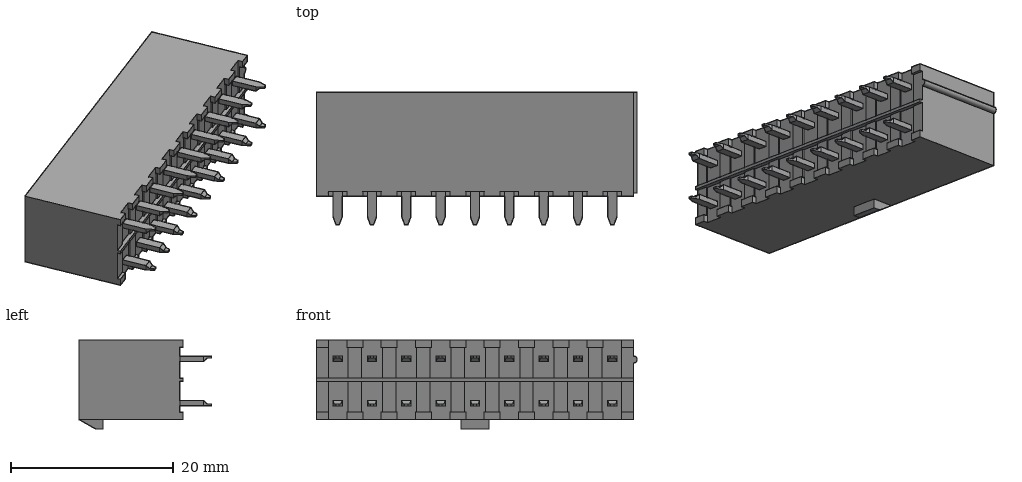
import cadquery as cq

OVERALL_LENGTH = 39.4
KEY_RADIUS = 0.45
BODY_LENGTH = OVERALL_LENGTH - KEY_RADIUS
BODY_DEPTH = 12.8
BODY_HEIGHT = 9.77

PILLAR_RECESS = 0.4
CHANNEL_RECESS = 0.6
LIP_HEIGHT = 0.9
LIP_GAP = 2.25
PILLAR_WIDTH = 1.65
DIVIDER_HEIGHT = 0.4

PIN_COLUMNS = 9
PIN_PITCH = 4.2
PIN_WIDTH = 1.15
PIN_THICKNESS = 0.67
PIN_REACH = 3.5
PIN_TAPER = 1.0
PIN_TIP_WIDTH = 0.4
PIN_TIP_THICKNESS = 0.25
UPPER_PIN_Z = 7.45
PIN_ROW_SPACING = 5.45

KEY_Z = 7.35
LATCH_WIDTH = 3.45
LATCH_HEIGHT = 1.2
LATCH_DEPTH = 3.0
LATCH_FLAT = 0.9

CHANNEL_XS = [(i - (PIN_COLUMNS - 1) / 2) * PIN_PITCH for i in range(PIN_COLUMNS)]


def block(x_range, y_range, z_range):
    """Box spanning the given (low, high) limits on each axis."""
    lows, highs = zip(x_range, y_range, z_range)
    sizes = [high - low for low, high in zip(lows, highs)]
    return cq.Workplane("XY").box(*sizes, centered=False).translate(lows)


def housing():
    """Solid block with its front face relieved behind the lips and the divider."""
    half_length = BODY_LENGTH / 2
    full_x = (-half_length, half_length)
    full_z = (0, BODY_HEIGHT)
    between_lips = (LIP_HEIGHT, BODY_HEIGHT - LIP_HEIGHT)
    body = block(full_x, (0, BODY_DEPTH), full_z)
    body = body.cut(block(full_x, (0, PILLAR_RECESS), between_lips))

    wide_half = (PIN_PITCH - PILLAR_WIDTH) / 2
    gap_half = LIP_GAP / 2
    for x in CHANNEL_XS:
        left = gap_half if x == CHANNEL_XS[0] else wide_half
        right = gap_half if x == CHANNEL_XS[-1] else wide_half
        body = body.cut(block((x - gap_half, x + gap_half), (0, CHANNEL_RECESS), full_z))
        body = body.cut(block((x - left, x + right), (0, CHANNEL_RECESS), between_lips))

    divider_z = ((BODY_HEIGHT - DIVIDER_HEIGHT) / 2, (BODY_HEIGHT + DIVIDER_HEIGHT) / 2)
    return body.union(block(full_x, (0, CHANNEL_RECESS), divider_z))


def pin():
    """Pin centred on X = Z = 0, pointed in plan and bevelled at 45 degrees underneath."""
    half_width = PIN_WIDTH / 2
    half_tip = PIN_TIP_WIDTH / 2
    top = PIN_THICKNESS / 2
    shoulder_y = PIN_TAPER - PIN_REACH
    bevel_length = PIN_THICKNESS - PIN_TIP_THICKNESS
    plan = (
        cq.Workplane("XY")
        .workplane(offset=-top)
        .moveTo(-half_width, CHANNEL_RECESS)
        .lineTo(-half_width, shoulder_y)
        .lineTo(-half_tip, -PIN_REACH)
        .lineTo(half_tip, -PIN_REACH)
        .lineTo(half_width, shoulder_y)
        .lineTo(half_width, CHANNEL_RECESS)
        .close()
        .extrude(PIN_THICKNESS)
    )
    side = (
        cq.Workplane("YZ")
        .moveTo(CHANNEL_RECESS, top)
        .lineTo(-PIN_REACH, top)
        .lineTo(-PIN_REACH, top - PIN_TIP_THICKNESS)
        .lineTo(shoulder_y - bevel_length, top - PIN_TIP_THICKNESS)
        .lineTo(shoulder_y, -top)
        .lineTo(CHANNEL_RECESS, -top)
        .close()
        .extrude(half_width, both=True)
    )
    return plan.intersect(side)


def side_key():
    """Round rib along the +X side, stopping level with the pillar faces."""
    return (
        cq.Workplane("XZ", origin=(BODY_LENGTH / 2, BODY_DEPTH, KEY_Z))
        .circle(KEY_RADIUS)
        .extrude(BODY_DEPTH - PILLAR_RECESS)
    )


def latch():
    """Ramp under the housing, rising to its full height away from the back edge."""
    front_y = BODY_DEPTH - LATCH_DEPTH
    return (
        cq.Workplane("YZ")
        .moveTo(BODY_DEPTH, 0)
        .lineTo(front_y + LATCH_FLAT, -LATCH_HEIGHT)
        .lineTo(front_y, -LATCH_HEIGHT)
        .lineTo(front_y, 0)
        .close()
        .extrude(LATCH_WIDTH / 2, both=True)
    )


result = housing().union(side_key()).union(latch())

upper_pin = pin()
lower_pin = upper_pin.mirror("XY")
for pin_x in CHANNEL_XS:
    result = result.union(upper_pin.translate((pin_x, 0, UPPER_PIN_Z)))
    result = result.union(lower_pin.translate((pin_x, 0, UPPER_PIN_Z - PIN_ROW_SPACING)))